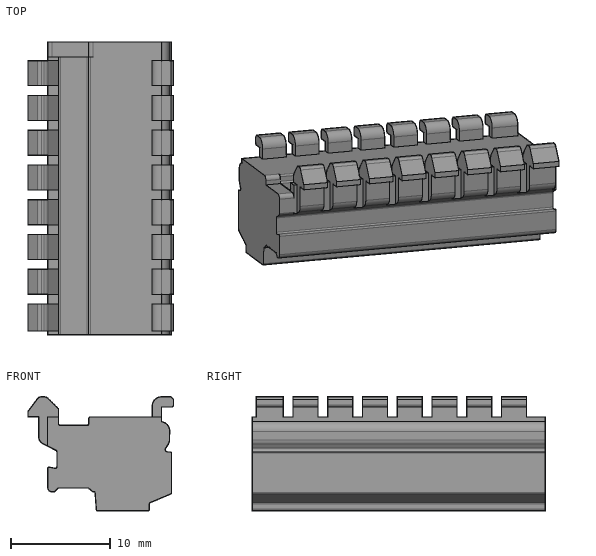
import cadquery as cq
import math

LENGTH = 29.5
DECK_Z = 9.47
TOP_Z = 11.5
RIGHT_X = 12.48

LIP_WIDTH = 1.1
CHANNEL_RIGHT_X = 4.13
CHANNEL_Z = 8.65
CHANNEL_RADIUS = 0.18

LIP_BOTTOM_Z = 6.52
GROOVE_X = 0.9
GROOVE_TOP_Z = 6.05
GROOVE_BOTTOM_Z = 4.28
FOOT_TOP_Z = 4.45
FOOT_BOTTOM_Z = 1.92
FOOT_FLAT_WIDTH = 0.68
FOOT_RADIUS = 0.45
LEDGE_START_X = 1.05
LEDGE_END_X = 4.1
LEDGE_Z = 2.3

KEEL_LEFT_X = 4.9
KEEL_SHOULDER_X = 4.75
KEEL_SHOULDER_Z = 1.92
SHOULDER_FLAT_X = 4.55
SHOULDER_RADIUS = 0.05
KEEL_RIGHT_X = 10.25
KEEL_RIGHT_TOP_Z = 0.8
KEEL_RADIUS = 0.18

DECK_RIGHT_X = 11.48
BULGE_TOP_X = 12.3
BULGE_BOTTOM_X = 12.27
BULGE_START_Z = 9.0
BULGE_TOP_Z = 8.82
BULGE_BOTTOM_Z = 6.93
BULGE_TOP_RADIUS = 0.97
BULGE_BOTTOM_RADIUS = 0.75
NOTCH_X = 11.65
NOTCH_Z = 5.95
NOTCH_RADIUS = 0.25
SLOPE_TOP_Z = 1.75

EDGE_RADIUS = 0.15

REAR_LENGTH = 1.53
REAR_FLOOR_Z = 8.58
REAR_RADIUS = 0.45
REAR_UNDERSIDE_RADIUS = 0.2

TAB_COUNT = 8
TAB_WIDTH = 2.55
FRONT_TAB_WIDTH = 2.75
FRONT_TAB_Y = 0.38
REAR_MARGIN = 1.9
TAB_PITCH = (LENGTH - REAR_MARGIN - FRONT_TAB_Y - FRONT_TAB_WIDTH) / (TAB_COUNT - 1)

LATCH_LEFT_X = -2.0
LATCH_LEFT_Z = 10.0
LATCH_RIGHT_Z = 10.3
LATCH_CREST_LEFT_X = -0.88
LATCH_CREST_RIGHT_X = -0.15
LATCH_CREST_RADIUS = 0.53
ARM_THICKNESS = 0.9
ARM_BEND_RADIUS = 0.77

HOOK_RIGHT_X = 12.68
HOOK_THICKNESS = 0.97
HOOK_UNDERSIDE_Z = 10.45
HOOK_TIP_CHAMFER = 0.3
HOOK_TIP_RADIUS = 0.25

OVERLAP = 0.3


def rounded_outline(corners):
    """Closed XZ wire through (x, z, radius) corners, each rounded by a tangent arc."""
    stretches = []
    for index, (x, z, radius) in enumerate(corners):
        corner = cq.Vector(x, z)
        before = cq.Vector(*corners[index - 1][:2])
        after = cq.Vector(*corners[(index + 1) % len(corners)][:2])
        if radius == 0:
            stretches.append((corner,))
            continue
        to_before = (before - corner).normalized()
        to_after = (after - corner).normalized()
        half_angle = to_before.getAngle(to_after) / 2
        setback = radius / math.tan(half_angle)
        bisector = (to_before + to_after).normalized()
        middle = corner + bisector * (radius / math.sin(half_angle) - radius)
        stretches.append((corner + to_before * setback, middle, corner + to_after * setback))

    outline = cq.Workplane("XZ").moveTo(*stretches[0][-1].toTuple()[:2])
    for stretch in stretches[1:] + stretches[:1]:
        outline = outline.lineTo(*stretch[0].toTuple()[:2])
        if len(stretch) > 1:
            outline = outline.threePointArc(*[point.toTuple()[:2] for point in stretch[1:]])
    return outline.close()


def prism(corners, start_y, length):
    """Rounded outline extruded toward +Y from start_y."""
    return rounded_outline(corners).extrude(-length).translate((0, start_y, 0))


def make_body_section(top_left_corners, start_y, length):
    """Stretch of the body whose upper left part, up to the deck, has its own corners."""
    corners = top_left_corners + [
        (DECK_RIGHT_X, DECK_Z, 0),
        (DECK_RIGHT_X, BULGE_START_Z, 0),
        (BULGE_TOP_X, BULGE_TOP_Z, BULGE_TOP_RADIUS),
        (BULGE_BOTTOM_X, BULGE_BOTTOM_Z, BULGE_BOTTOM_RADIUS),
        (NOTCH_X, NOTCH_Z, NOTCH_RADIUS),
        (RIGHT_X, NOTCH_Z, EDGE_RADIUS),
        (RIGHT_X, SLOPE_TOP_Z, EDGE_RADIUS),
        (KEEL_RIGHT_X, KEEL_RIGHT_TOP_Z, EDGE_RADIUS),
        (KEEL_RIGHT_X, 0, KEEL_RADIUS),
        (KEEL_LEFT_X, 0, KEEL_RADIUS),
        (KEEL_SHOULDER_X, KEEL_SHOULDER_Z, SHOULDER_RADIUS),
        (SHOULDER_FLAT_X, KEEL_SHOULDER_Z, 0),
        (LEDGE_END_X, LEDGE_Z, 0),
        (LEDGE_START_X, LEDGE_Z, 0),
        (FOOT_FLAT_WIDTH, FOOT_BOTTOM_Z, EDGE_RADIUS),
        (0, FOOT_BOTTOM_Z, FOOT_RADIUS),
        (0, FOOT_TOP_Z, EDGE_RADIUS),
        (GROOVE_X, GROOVE_BOTTOM_Z, EDGE_RADIUS),
        (GROOVE_X, GROOVE_TOP_Z, EDGE_RADIUS),
    ]
    return prism(corners, start_y, length)


def make_body():
    """Lipped body with a short rear end where the lip is cut away and the edges are rounded."""
    lip_and_channel = [
        (0, LIP_BOTTOM_Z, 0),
        (0, DECK_Z, 0),
        (LIP_WIDTH, DECK_Z, 0),
        (LIP_WIDTH, CHANNEL_Z, CHANNEL_RADIUS),
        (CHANNEL_RIGHT_X, CHANNEL_Z, CHANNEL_RADIUS),
        (CHANNEL_RIGHT_X, DECK_Z, CHANNEL_RADIUS),
    ]
    open_step = [
        (0, LIP_BOTTOM_Z, REAR_UNDERSIDE_RADIUS),
        (0, REAR_FLOOR_Z, REAR_RADIUS),
        (CHANNEL_RIGHT_X, REAR_FLOOR_Z, 0),
        (CHANNEL_RIGHT_X, DECK_Z, REAR_RADIUS),
    ]
    front_length = LENGTH - REAR_LENGTH
    front = make_body_section(lip_and_channel, 0, front_length)
    rear = make_body_section(open_step, front_length, REAR_LENGTH)
    return front.union(rear)


def make_latch(start_y, width):
    """Arrow-headed latch on an arm that curves out of the lip's sloped underside."""
    slope = (LIP_BOTTOM_Z - GROOVE_TOP_Z) / GROOVE_X
    corners = [
        (LATCH_LEFT_X, DECK_Z, 0),
        (LATCH_LEFT_X, LATCH_LEFT_Z, 0),
        (LATCH_CREST_LEFT_X, TOP_Z, LATCH_CREST_RADIUS),
        (LATCH_CREST_RIGHT_X, TOP_Z, LATCH_CREST_RADIUS),
        (LIP_WIDTH, LATCH_RIGHT_Z, 0),
        (LIP_WIDTH, DECK_Z, 0),
        (OVERLAP, DECK_Z, 0),
        (OVERLAP, LIP_BOTTOM_Z - slope * OVERLAP, 0),
        (-ARM_THICKNESS, LIP_BOTTOM_Z + slope * ARM_THICKNESS, ARM_BEND_RADIUS),
        (-ARM_THICKNESS, DECK_Z, 0),
    ]
    return prism(corners, start_y, width)


def make_hook(start_y, width):
    """Hook that rises from the deck and bends toward +X."""
    left_x = DECK_RIGHT_X - HOOK_THICKNESS
    corners = [
        (left_x, DECK_Z - OVERLAP, 0),
        (left_x, TOP_Z, HOOK_THICKNESS),
        (HOOK_RIGHT_X - HOOK_TIP_CHAMFER, TOP_Z, 0),
        (HOOK_RIGHT_X, TOP_Z - HOOK_TIP_CHAMFER, 0),
        (HOOK_RIGHT_X, HOOK_UNDERSIDE_Z, HOOK_TIP_RADIUS),
        (DECK_RIGHT_X, HOOK_UNDERSIDE_Z, 0),
        (DECK_RIGHT_X, DECK_Z - OVERLAP, 0),
    ]
    return prism(corners, start_y, width)


result = make_body()

for station in range(TAB_COUNT):
    tab_width = FRONT_TAB_WIDTH if station == 0 else TAB_WIDTH
    rear_y = FRONT_TAB_Y + FRONT_TAB_WIDTH + station * TAB_PITCH
    front_y = rear_y - tab_width
    result = result.union(make_latch(front_y, tab_width))
    result = result.union(make_hook(front_y, tab_width))